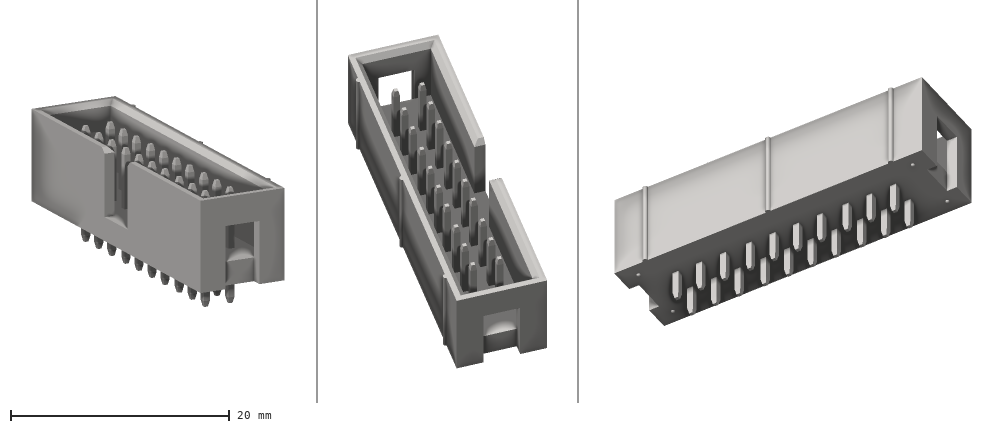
import cadquery as cq

length = 33.05
depth = 8.7
height = 8.82
wall = 1.05
floor_height = 2.28
mouth_chamfer = 0.5
chamfer_angle = 45

notch_width = 4.5

end_slot_width = 3.5
end_slot_height = 6.05

column_groups = (3, 4, 3)
pin_pitch = 2.55
group_gap = 2.78
pin_field_shift = -0.03
pin_side = 0.63
pin_top = 8.05
pin_tail = 2.97
tip_height = 0.6
tip_side = 0.35

rib_radius = 0.25
rib_spacing = 13.2

bump_radius = 0.2
bump_spacing_x = 29.48
bump_spacing_y = 6.0


def make_shell():
    """Open-topped box resting on Z = 0."""
    block = cq.Workplane("XY").box(length, depth, height, centered=(True, True, False))
    cavity = (
        cq.Workplane("XY")
        .workplane(offset=floor_height)
        .rect(length - 2 * wall, depth - 2 * wall)
        .extrude(height - floor_height)
    )
    return block.cut(cavity)


def make_mouth_flare():
    """Tapered cutter that bevels the inner top edge of the walls."""
    rim = wall - mouth_chamfer
    return (
        cq.Workplane("XY")
        .workplane(offset=height)
        .rect(length - 2 * rim, depth - 2 * rim)
        .extrude(-mouth_chamfer, taper=chamfer_angle)
    )


def make_notch():
    """Cutter through the front wall, from floor to rim, flared at the rim."""
    half_width = notch_width / 2
    shoulder = height - mouth_chamfer
    return (
        cq.Workplane("XZ", origin=(0, wall - depth / 2, 0))
        .moveTo(-half_width, floor_height)
        .lineTo(-half_width, shoulder)
        .lineTo(-half_width - mouth_chamfer, height)
        .lineTo(half_width + mouth_chamfer, height)
        .lineTo(half_width, shoulder)
        .lineTo(half_width, floor_height)
        .close()
        .extrude(wall)
    )


def make_end_slots():
    """Cutters one wall deep in both end faces, open at the bottom."""
    return (
        cq.Workplane("XY")
        .pushPoints([(side * (length - wall) / 2, 0) for side in (-1, 1)])
        .rect(wall, end_slot_width)
        .extrude(end_slot_height)
    )


def column_positions():
    """X of every pin column: evenly pitched groups with wider gaps between them."""
    column_count = sum(column_groups)
    gap_count = len(column_groups) - 1
    span = (column_count - 1 - gap_count) * pin_pitch + gap_count * group_gap
    positions = []
    x = pin_field_shift - span / 2
    for group_size in column_groups:
        positions += [x + column * pin_pitch for column in range(group_size)]
        x = positions[-1] + group_gap
    return positions


def make_pin():
    """Square pin on the Z axis with a tapered tip at each end."""
    shank_bottom = tip_height - pin_tail
    shank_top = pin_top - tip_height
    pin = (
        cq.Workplane("XY")
        .workplane(offset=shank_bottom)
        .rect(pin_side, pin_side)
        .extrude(shank_top - shank_bottom)
    )
    for base, rise in ((shank_top, tip_height), (shank_bottom, -tip_height)):
        tip = (
            cq.Workplane("XY")
            .workplane(offset=base)
            .rect(pin_side, pin_side)
            .workplane(offset=rise)
            .rect(tip_side, tip_side)
            .loft(ruled=True)
        )
        pin = pin.union(tip)
    return pin


def make_ribs():
    """Round ribs centred on the back face over the full height."""
    return (
        cq.Workplane("XY")
        .pushPoints([(step * rib_spacing, depth / 2) for step in (-1, 0, 1)])
        .circle(rib_radius)
        .extrude(height)
    )


result = make_shell()
result = result.cut(make_mouth_flare())
result = result.cut(make_notch())
result = result.cut(make_end_slots())
result = result.union(make_ribs())

bump_points = cq.Workplane("XY").rarray(bump_spacing_x, bump_spacing_y, 2, 2)
result = result.union(bump_points.sphere(bump_radius))

pin = make_pin().val()
pin_points = [(x, y) for x in column_positions() for y in (-pin_pitch / 2, pin_pitch / 2)]
pins = cq.Workplane("XY").pushPoints(pin_points).eachpoint(lambda place: pin.moved(place))
result = result.union(pins)